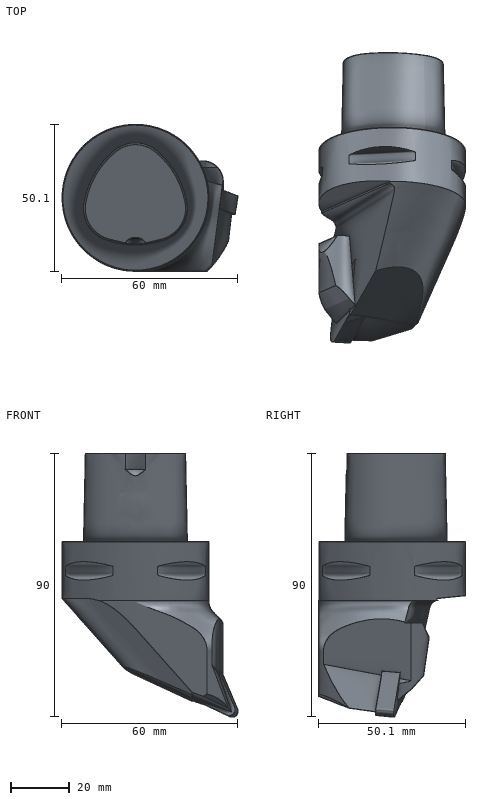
import cadquery as cq
import math


shank_height = 30.0
shank_mean_radius = 17.5
lobe_offset = 1.3
lobe_count = 3
shank_taper = 0.6
notch_radius = 4.05
notch_center_y = -17.55
notch_depth = 5.4

flange_radius = 25.0
flange_height = 20.2
flange_chamfer = 0.3
slot_count = 4
slot_floor_distance = 22.2
slot_z = -10.1
slot_floor_half_width = 1.5
slot_mouth_half_width = 3.15
slot_corner_radius = 0.5
underside_slope_start_y = 15.3
underside_slope_rise = 1.0

neck_radius = flange_radius + 0.1
head_radius = 35.0
cone_angle = math.radians(45)
neck_collar_height = 0.5
neck_fillet = 4.8
shoulder_fillet = 11.2
head_bottom = -67.5

back_start_z = -19.5
back_lean = 0.89
back_flat_angle = math.radians(229.5)

side_face = ((29.8, 5.5, 0), (1, -0.13, 0))
bottom_face = ((0, 0, -45.0), (-0.48, -0.08, -1))
relief_face = ((32.8, -5.9, -58.1), (-0.35, -0.1, -1))
flank_face = ((32.8, -5.9, -58.1), (2.9, -0.19, 1))
relief_start_x = 19.35
corner_face = ((24.5, -25.1, -52.0), (0.72, -1.02, -1.09))
cove_radius = 2.7

boss_radius = 7.2
boss_x = 22.8
boss_crown_y = 12.6
boss_side_outline = [
    (0, -27.9),
    (10.35, -27.9),
    (boss_crown_y, -32.85),
    (10.7, -45.8),
    (6.6, -50.4),
    (0, -55.8),
]

insert_tip = (36.9, -0.2, -62.0)
insert_side = 18.9
insert_thickness = 6.3
insert_nose_radius = 2.0
lower_edge_direction = cq.Vector(-1, 0.21, 0.47).normalized()
upper_edge_direction = cq.Vector(-1, 0.39, 2.35).normalized()
rake_normal = lower_edge_direction.cross(upper_edge_direction).normalized()

big = 180.0


def half_space(point, normal):
    """Block filling the space on the outer side of a flat face."""
    plane = cq.Plane(origin=point, normal=normal)
    return cq.Workplane(plane).rect(big, big).extrude(big)


def lobe_point(turn, inset):
    """Point on the three-lobed outline; turn is the curve parameter, with a lobe on +Y."""
    radius = shank_mean_radius - inset
    x = radius * math.sin(turn) - lobe_offset * math.sin(2 * turn)
    y = radius * math.cos(turn) + lobe_offset * math.cos(2 * turn)
    return (x, y)


def lobed_outline(plane, inset):
    """Three lobes and three flatter sides, one arc each."""
    step = math.pi / (2 * lobe_count)
    outline = plane.moveTo(*lobe_point(-step, inset))
    for arc in range(2 * lobe_count):
        middle = 2 * arc * step
        outline = outline.threePointArc(lobe_point(middle, inset), lobe_point(middle + step, inset))
    return outline.close()


def make_shank():
    """Tapered shank with a drilled notch in the front of its upper rim."""
    base = lobed_outline(cq.Workplane("XY"), 0)
    outlines = lobed_outline(base.workplane(offset=shank_height), shank_taper)
    shank = outlines.loft(ruled=True, combine=True)
    notch_profile = [
        (0, shank_height),
        (notch_radius, shank_height),
        (notch_radius, shank_height - notch_depth),
        (0, shank_height - notch_depth - notch_radius),
    ]
    notch = cq.Workplane("XZ").polyline(notch_profile).close().revolve(360, (0, 0, 0), (0, 1, 0))
    return shank.cut(notch.translate((0, notch_center_y, 0)))


def make_slot_cutter():
    """Flared slot on the +X side, running along Y."""
    flare = (slot_mouth_half_width - slot_floor_half_width) / (flange_radius - slot_floor_distance)
    reach = 2 * flange_radius - slot_floor_distance
    mouth = slot_floor_half_width + flare * (reach - slot_floor_distance)
    profile = [
        (slot_floor_distance, slot_z - slot_floor_half_width),
        (reach, slot_z - mouth),
        (reach, slot_z + mouth),
        (slot_floor_distance, slot_z + slot_floor_half_width),
    ]
    cutter = cq.Workplane("XZ").polyline(profile).close().extrude(flange_radius, both=True)
    return cutter.faces("<X").edges("|Y").fillet(slot_corner_radius)


def make_flange():
    """Flange with slots between the X and Y axes and an underside rising towards +Y."""
    flange = cq.Workplane("XY").circle(flange_radius).extrude(-flange_height)
    flange = flange.faces(">Z").edges().chamfer(flange_chamfer)
    for slot in range(slot_count):
        angle = (slot + 0.5) * 360 / slot_count
        flange = flange.cut(make_slot_cutter().rotate((0, 0, 0), (0, 0, 1), angle))
    slope_profile = [
        (underside_slope_start_y, -flange_height),
        (underside_slope_start_y, back_start_z),
        (flange_radius, back_start_z + underside_slope_rise),
        (flange_radius, -flange_height),
    ]
    slope = (
        cq.Workplane("YZ")
        .polyline(slope_profile)
        .close()
        .extrude(flange_radius, both=True)
    )
    return flange.cut(slope)


def make_turned_envelope():
    """Collar, concave fillet, cone, convex fillet and cylinder in one profile turned about Z."""
    across = 1 - math.cos(cone_angle)
    half_across = 1 - math.cos(cone_angle / 2)
    sine = math.sin(cone_angle)
    half_sine = math.sin(cone_angle / 2)
    collar_z = -flange_height - neck_collar_height
    cone_top = (neck_radius + neck_fillet * across, collar_z - neck_fillet * sine)
    neck_mid = (neck_radius + neck_fillet * half_across, collar_z - neck_fillet * half_sine)
    cone_foot_radius = head_radius - shoulder_fillet * across
    cone_foot_z = cone_top[1] - (cone_foot_radius - cone_top[0]) / math.tan(cone_angle)
    cylinder_z = cone_foot_z - shoulder_fillet * sine
    shoulder_mid = (head_radius - shoulder_fillet * half_across, cylinder_z + shoulder_fillet * half_sine)
    profile = (
        cq.Workplane("XZ")
        .moveTo(0, -flange_height)
        .lineTo(neck_radius, -flange_height)
        .lineTo(neck_radius, collar_z)
        .threePointArc(neck_mid, cone_top)
        .lineTo(cone_foot_radius, cone_foot_z)
        .threePointArc(shoulder_mid, (head_radius, cylinder_z))
        .lineTo(head_radius, head_bottom)
        .lineTo(0, head_bottom)
        .close()
    )
    return profile.revolve(360, (0, 0, 0), (0, 1, 0))


def make_front_limit():
    """Upright block, round on the -X side and with a flat front tangent to the round."""
    return (
        cq.Workplane("XY")
        .moveTo(0, -neck_radius)
        .lineTo(big, -neck_radius)
        .lineTo(big, neck_radius)
        .lineTo(0, neck_radius)
        .threePointArc((-neck_radius, 0), (0, -neck_radius))
        .close()
        .extrude(head_bottom)
    )


def make_leaning_limit():
    """Leaning prism: a round back running tangent into a flat on its front side."""
    tangent_point = (flange_radius * math.cos(back_flat_angle), flange_radius * math.sin(back_flat_angle))
    flat_end = (
        tangent_point[0] - big * math.sin(back_flat_angle),
        tangent_point[1] + big * math.cos(back_flat_angle),
    )
    outline = (
        cq.Workplane("XY", origin=(0, 0, back_start_z))
        .moveTo(*tangent_point)
        .lineTo(*flat_end)
        .lineTo(big, flange_radius)
        .lineTo(0, flange_radius)
        .threePointArc((-flange_radius, 0), tangent_point)
        .close()
    )
    drop = back_start_z - head_bottom
    face = cq.Face.makeFromWires(outline.val())
    return cq.Workplane(cq.Solid.extrudeLinear(face, cq.Vector(back_lean * drop, 0, -drop)))


def make_rake_cutter():
    """Everything beyond the rake face, coved where the face meets the flange."""
    below_flange = half_space((0, 0, -flange_height), (0, 0, -1))
    cutter = half_space(insert_tip, rake_normal).intersect(below_flange)
    meeting_x = insert_tip[0] * rake_normal.x + (insert_tip[2] + flange_height) * rake_normal.z
    meeting_y = insert_tip[1] + meeting_x / rake_normal.y
    meeting_edge = cq.selectors.NearestToPointSelector((0, meeting_y, -flange_height))
    return cutter.edges(meeting_edge).fillet(cove_radius)


def make_boss():
    """Upright block with a round +Y end, trimmed to its sloping side outline."""
    plan = (
        cq.Workplane("XY")
        .center(boss_x, boss_crown_y - boss_radius)
        .circle(boss_radius)
        .extrude(head_bottom)
        .union(
            cq.Workplane("XY")
            .center(boss_x, boss_crown_y - 2 * boss_radius)
            .rect(2 * boss_radius, 2 * boss_radius)
            .extrude(head_bottom)
        )
    )
    side = cq.Workplane("YZ").polyline(boss_side_outline).close().extrude(big)
    return plan.intersect(side)


def make_insert():
    """Rhombic plate lying under the rake face, with a rounded nose at the tip."""
    lower = lower_edge_direction * insert_side
    upper = upper_edge_direction * insert_side
    tip = cq.Vector(*insert_tip)
    thickness = rake_normal * -insert_thickness
    outline = cq.Wire.makePolygon([tip, tip + lower, tip + lower + upper, tip + upper], close=True)
    plate = cq.Solid.extrudeLinear(cq.Face.makeFromWires(outline), thickness)
    nose = cq.selectors.NearestToPointSelector((tip + thickness * 0.5).toTuple())
    return cq.Workplane(plate).edges(nose).fillet(insert_nose_radius)


def make_head():
    """Turned head trimmed by its flat faces; the boss stands on the rake face."""
    head = make_turned_envelope().intersect(make_front_limit())
    head = head.cut(make_rake_cutter()).union(make_boss())
    head = head.cut(half_space(*side_face).intersect(half_space(*flank_face)))
    head = head.cut(half_space(*bottom_face)).cut(half_space(*corner_face))
    tip_end = half_space((relief_start_x, 0, 0), (1, 0, 0))
    return head.cut(half_space(*relief_face).intersect(tip_end))


def make_holder(insert):
    """Shank, flange and head in one piece, with a pocket that fits the insert."""
    above_back = half_space((0, 0, back_start_z), (0, 0, 1))
    lower_part = make_flange().union(make_head())
    lower_part = lower_part.intersect(make_leaning_limit().union(above_back))
    return lower_part.union(make_shank()).cut(insert)


insert = make_insert()
holder = make_holder(insert)

result = cq.Compound.makeCompound([holder.solids().val(), insert.solids().val()])